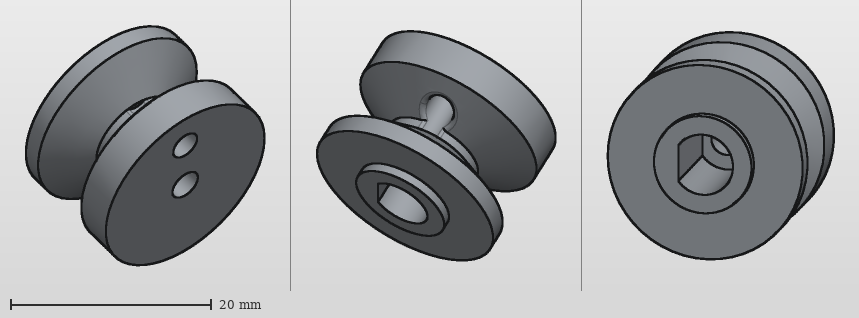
import cadquery as cq

rim_radius = 10.0
hub_radius = 5.0
groove_radius = 5.0
shaft_radius = 3.1
through_radius = 1.6

hub_end = 1.0
thin_rim_end = 3.0
groove_start = 6.0
groove_end = 7.0
thick_rim_start = 10.0
length = 14.0

flat_offset = 2.5
socket_depth = 10.0

cord_hole_radius = 1.5
cord_hole_height = 6.0
cord_hole_fillet = 0.5


def revolve_about_x(points):
    """Revolve a closed (x, radius) outline about the X axis."""
    return cq.Workplane("XY").polyline(points).close().revolve(360, (0, 0, 0), (1, 0, 0))


def cylinder_along_x(radius, start, end, height=0.0):
    return cq.Workplane("YZ", origin=(start, 0, height)).circle(radius).extrude(end - start)


def make_hub_side():
    return revolve_about_x([
        (0, 0),
        (0, hub_radius),
        (hub_end, hub_radius),
        (hub_end, rim_radius),
        (thin_rim_end, rim_radius),
        (groove_start, groove_radius),
        (groove_start, 0),
    ])


def make_cord_side():
    """Groove floor and thick flange, with the rounded cord hole."""
    body = revolve_about_x([
        (groove_start, 0),
        (groove_start, groove_radius),
        (groove_end, groove_radius),
        (thick_rim_start, rim_radius),
        (length, rim_radius),
        (length, 0),
    ])
    body = body.cut(cylinder_along_x(cord_hole_radius, groove_start, length, cord_hole_height))

    mouth_zone = cq.selectors.BoxSelector(
        (groove_start, -cord_hole_radius, cord_hole_height - cord_hole_radius),
        (thick_rim_start, cord_hole_radius, cord_hole_height + cord_hole_radius),
    )
    arc_edges = cq.selectors.StringSyntaxSelector("%CIRCLE")
    mouth_edges = body.edges(mouth_zone - arc_edges)
    return mouth_edges.fillet(cord_hole_fillet)


def make_shaft_socket():
    """Round socket with one flat on the +Y side."""
    socket = cylinder_along_x(shaft_radius, 0, socket_depth)
    flat_limit = cq.Workplane("XY").box(
        socket_depth, shaft_radius + flat_offset, 2 * shaft_radius, centered=(False, False, True)
    ).translate((0, -shaft_radius, 0))
    return socket.intersect(flat_limit)


result = (
    make_hub_side()
    .union(make_cord_side())
    .cut(make_shaft_socket())
    .cut(cylinder_along_x(through_radius, 0, length))
)